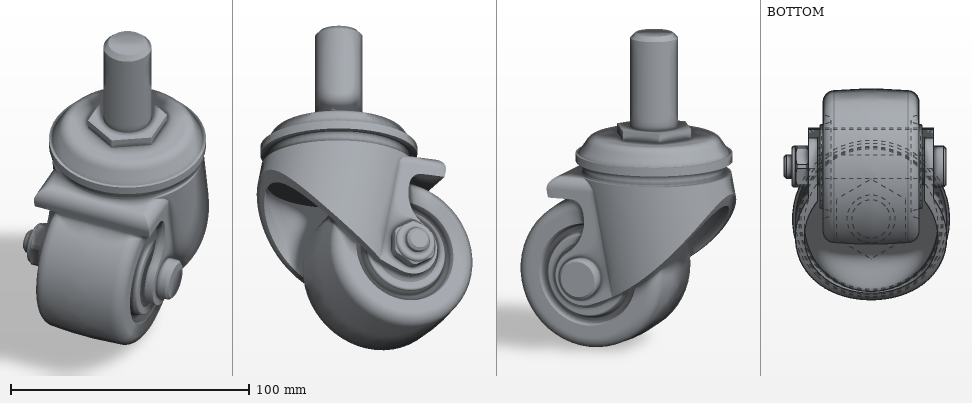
import cadquery as cq
import math


OVERALL_HEIGHT = 134.0

WHEEL_TRAIL = 22.0
AXLE_Y = -WHEEL_TRAIL
WHEEL_RADIUS = 32.5
TREAD_EDGE_RADIUS = 31.9
TREAD_HALF_WIDTH = 15.5
TIRE_HALF_WIDTH = 20.1
TIRE_SIDE_RADIUS = 26.8
GROOVE_OUTER_RADIUS = 21.8
GROOVE_BOTTOM_OUTER_RADIUS = 20.8
GROOVE_BOTTOM_INNER_RADIUS = 18.8
GROOVE_BOTTOM_X = 16.8
GROOVE_FILLET = 0.8
HUB_RADIUS = 17.7
HUB_HALF_WIDTH = 21.5
HUB_EDGE_FILLET = 0.8
BEARING_RADIUS = 14.2
BEARING_RECESS = 0.7
SPACER_RADIUS = 7.8

FORK_TOP_Z = 41.7
PLATE_THICKNESS = 8.7
PLATE_BOTTOM_Z = FORK_TOP_Z - PLATE_THICKNESS
SHEET_THICKNESS = 3.8
ARM_HALF_SPAN = 26.3
ARM_INNER_X = ARM_HALF_SPAN - SHEET_THICKNESS
ARM_END_RADIUS = 12.0
LIP_CORNER_Y = -39.1
LIP_EDGE_FILLET = 5.0
INNER_CORNER_FILLET = 1.1
SKIRT_RADIUS = 31.8
SKIRT_CENTER_Y = 0.3
SKIRT_TILT = 10.8
CUTTER_LENGTH = 80.4
THROAT_RADIUS = 15.8
THROAT_Y = -36.8
THROAT_Z = 23.9
THROAT_TOP_RADIUS = 5.6
BACK_EDGE_RADIUS = 91.8
BACK_EDGE_ANGLE = -70.7
BACK_LIMIT_Y = 40.2

STEM_RADIUS = 10.0
STEM_TOP_Z = OVERALL_HEIGHT - WHEEL_RADIUS
STEM_CHAMFER = 2.0
HEX_ACROSS_FLATS = 29.0
HEX_TOP_Z = 61.4
CAP_TOP_Z = 57.5
CAP_CORNER_RADIUS = 26.8
CAP_ROUND = 5.0
CONE_BASE_RADIUS = 31.8
FLANGE_RADIUS = 33.0
FLANGE_TOP_Z = 50.1
FLANGE_BOTTOM_Z = 46.6
NECK_RADIUS = 29.5
NECK_BOTTOM_Z = 46.0
RACE_RADIUS = 30.0
RACE_TOP_Z = 43.5
RACE_BOTTOM_Z = 42.3
RACE_FOOT_RADIUS = 30.4

BOLT_RADIUS = 5.0
BOLT_END_X = -36.6
BOLT_CHAMFER = 1.1
HEAD_RADIUS = 8.6
HEAD_HEIGHT = 5.2
HEAD_CHAMFER = 1.1
NUT_ACROSS_FLATS = 17.3
NUT_HEIGHT = 7.0
NUT_CHAMFER_HEIGHT = 0.5
NUT_COLLAR_START = 5.4
NUT_COLLAR_RADIUS = 8.6
NUT_COLLAR_ROUND = 1.2
NUT_CORNER_RADIUS = 9.5
NUT_FACE_RADIUS = 9.1


def axle_revolve(profile):
    """Turn a closed XY profile about the X axis and move it onto the wheel axis."""
    turned = profile.close().revolve(360, (0, 0, 0), (1, 0, 0))
    return turned.translate((0, AXLE_Y, 0))


def axle_cylinder(radius, start_x, end_x):
    """Round bar on the wheel axis between two X positions."""
    bar = cq.Workplane("YZ").workplane(offset=start_x).center(AXLE_Y, 0)
    return bar.circle(radius).extrude(end_x - start_x)


def across_corners(across_flats):
    return across_flats * 2 / math.sqrt(3)


def mirrored_in_x(shape):
    return shape.mirror("YZ")



def groove_ring():
    """Ring-shaped groove between the tire and the hub on the +X side, wider toward the outside."""
    ring = axle_revolve(
        cq.Workplane("XY")
        .moveTo(GROOVE_BOTTOM_X, GROOVE_BOTTOM_INNER_RADIUS)
        .lineTo(GROOVE_BOTTOM_X, GROOVE_BOTTOM_OUTER_RADIUS)
        .lineTo(TIRE_HALF_WIDTH, GROOVE_OUTER_RADIUS)
        .lineTo(TIRE_HALF_WIDTH, HUB_RADIUS)
    )
    return ring.faces("<X").edges().fillet(GROOVE_FILLET)


def make_tire():
    """Crowned tread with rounded shoulders and flat sides."""
    diagonal = math.sqrt(0.5)
    shoulder_x = TREAD_HALF_WIDTH + (TIRE_HALF_WIDTH - TREAD_HALF_WIDTH) * diagonal
    shoulder_radius = TIRE_SIDE_RADIUS + (TREAD_EDGE_RADIUS - TIRE_SIDE_RADIUS) * diagonal
    return axle_revolve(
        cq.Workplane("XY")
        .moveTo(-TIRE_HALF_WIDTH, 0)
        .lineTo(-TIRE_HALF_WIDTH, TIRE_SIDE_RADIUS)
        .threePointArc((-shoulder_x, shoulder_radius), (-TREAD_HALF_WIDTH, TREAD_EDGE_RADIUS))
        .threePointArc((0, WHEEL_RADIUS), (TREAD_HALF_WIDTH, TREAD_EDGE_RADIUS))
        .threePointArc((shoulder_x, shoulder_radius), (TIRE_HALF_WIDTH, TIRE_SIDE_RADIUS))
        .lineTo(TIRE_HALF_WIDTH, 0)
    )


def make_wheel():
    hub = axle_cylinder(HUB_RADIUS, -HUB_HALF_WIDTH, HUB_HALF_WIDTH)
    hub = hub.faces("<X or >X").edges().fillet(HUB_EDGE_FILLET)
    wheel = make_tire()
    groove = groove_ring()
    wheel = wheel.cut(groove).cut(mirrored_in_x(groove)).union(hub)

    recess = axle_cylinder(BEARING_RADIUS, HUB_HALF_WIDTH - BEARING_RECESS, HUB_HALF_WIDTH)
    wheel = wheel.cut(recess).cut(mirrored_in_x(recess))
    wheel = wheel.union(axle_cylinder(SPACER_RADIUS, -ARM_INNER_X, ARM_INNER_X))
    return wheel.cut(axle_cylinder(BOLT_RADIUS, -ARM_INNER_X, ARM_INNER_X))



def tilted_cylinder(radius):
    """Cylinder through the middle of the fork top, leaning toward +Y as it goes down."""
    cylinder = cq.Workplane("XY").circle(radius).extrude(CUTTER_LENGTH, both=True)
    return cylinder.rotate((0, 0, 0), (1, 0, 0), SKIRT_TILT).translate((0, SKIRT_CENTER_Y, FORK_TOP_Z))


def polar(center, radius, angle):
    """Point at an angle, in radians from the first axis of the sketch, around a center."""
    return (center[0] + radius * math.cos(angle), center[1] + radius * math.sin(angle))


def fork_side_profile():
    """Side outline of the fork: lip, throat, rounded arm end and curved back edge."""
    axle = (AXLE_Y, 0)
    throat = (THROAT_Y, THROAT_Z)
    throat_direction = math.atan2(THROAT_Z, THROAT_Y - AXLE_Y)
    arm_top = polar(axle, ARM_END_RADIUS, throat_direction)

    top_center_z = PLATE_BOTTOM_Z - THROAT_TOP_RADIUS
    top_direction = math.asin((top_center_z - THROAT_Z) / (THROAT_RADIUS - THROAT_TOP_RADIUS))
    top_center = polar(throat, THROAT_RADIUS - THROAT_TOP_RADIUS, top_direction)
    throat_top = polar(throat, THROAT_RADIUS, top_direction)
    lip_end = (top_center[0], PLATE_BOTTOM_Z)
    top_middle = polar(top_center, THROAT_TOP_RADIUS, (top_direction + math.pi / 2) / 2)
    throat_middle = polar(throat, THROAT_RADIUS, (top_direction + throat_direction - math.pi) / 2)

    back_direction = math.radians(BACK_EDGE_ANGLE)
    arm_bottom = polar(axle, ARM_END_RADIUS, back_direction)
    arm_front = polar(axle, ARM_END_RADIUS, math.pi + (throat_direction + back_direction) / 2)
    back_center = polar(axle, ARM_END_RADIUS - BACK_EDGE_RADIUS, back_direction)
    back_end_direction = -math.acos((BACK_LIMIT_Y - back_center[0]) / BACK_EDGE_RADIUS)
    back_middle = polar(back_center, BACK_EDGE_RADIUS, (back_direction + back_end_direction) / 2)
    back_end = polar(back_center, BACK_EDGE_RADIUS, back_end_direction)

    return (
        cq.Workplane("YZ")
        .moveTo(LIP_CORNER_Y, FORK_TOP_Z)
        .lineTo(LIP_CORNER_Y, PLATE_BOTTOM_Z)
        .lineTo(*lip_end)
        .threePointArc(top_middle, throat_top)
        .threePointArc(throat_middle, arm_top)
        .threePointArc(arm_front, arm_bottom)
        .threePointArc(back_middle, back_end)
        .lineTo(BACK_LIMIT_Y, FORK_TOP_Z)
        .close()
        .extrude(FLANGE_RADIUS, both=True)
    )


def arm_block():
    """Block as wide as the fork arms, with a leaning lip front and a rounded top edge."""
    bottom_z = -ARM_END_RADIUS
    lip_bottom_y = LIP_CORNER_Y + PLATE_THICKNESS * math.tan(math.radians(SKIRT_TILT))
    side = [
        (LIP_CORNER_Y, FORK_TOP_Z),
        (0, FORK_TOP_Z),
        (0, bottom_z),
        (lip_bottom_y, bottom_z),
        (lip_bottom_y, PLATE_BOTTOM_Z),
    ]
    block = cq.Workplane("YZ").polyline(side).close().extrude(ARM_HALF_SPAN, both=True)
    return block.faces(">Z").edges("<Y or <X or >X").fillet(LIP_EDGE_FILLET)


def space_below_plate(half_width, front_y, back_y):
    """Box under the plate, centered on X = 0 and deeper than the fork."""
    size = (2 * half_width, back_y - front_y, CUTTER_LENGTH)
    box = cq.Workplane("XY").box(*size, centered=(True, False, False))
    return box.translate((0, front_y, PLATE_BOTTOM_Z - CUTTER_LENGTH))


def make_fork():
    fork = arm_block().union(tilted_cylinder(SKIRT_RADIUS)).intersect(fork_side_profile())
    wheel_space = space_below_plate(ARM_INNER_X, LIP_CORNER_Y, 0)
    wheel_space = wheel_space.faces(">Z").edges("|Y").fillet(INNER_CORNER_FILLET)
    skirt_space = tilted_cylinder(SKIRT_RADIUS - SHEET_THICKNESS)
    skirt_space = skirt_space.intersect(space_below_plate(SKIRT_RADIUS, LIP_CORNER_Y, BACK_LIMIT_Y))
    return fork.cut(wheel_space).cut(skirt_space)



def make_swivel_head():
    """Ball race, flange and domed cap turned about the swivel axis, with hexagon and stem."""
    cone_angle = math.atan2(CAP_TOP_Z - FLANGE_TOP_Z, CONE_BASE_RADIUS - CAP_CORNER_RADIUS)
    round_run = CAP_ROUND * math.tan(cone_angle / 2)
    round_top_radius = CAP_CORNER_RADIUS - round_run
    round_center_z = CAP_TOP_Z - CAP_ROUND
    round_middle = polar((round_top_radius, round_center_z), CAP_ROUND, (math.pi - cone_angle) / 2)
    round_end = polar((round_top_radius, round_center_z), CAP_ROUND, math.pi / 2 - cone_angle)
    head = (
        cq.Workplane("XZ")
        .moveTo(0, FORK_TOP_Z)
        .lineTo(RACE_FOOT_RADIUS, FORK_TOP_Z)
        .lineTo(RACE_RADIUS, RACE_BOTTOM_Z)
        .lineTo(RACE_RADIUS, RACE_TOP_Z)
        .lineTo(NECK_RADIUS, NECK_BOTTOM_Z)
        .lineTo(NECK_RADIUS, FLANGE_BOTTOM_Z)
        .lineTo(FLANGE_RADIUS, FLANGE_BOTTOM_Z)
        .lineTo(FLANGE_RADIUS, FLANGE_TOP_Z)
        .lineTo(CONE_BASE_RADIUS, FLANGE_TOP_Z)
        .lineTo(*round_end)
        .threePointArc(round_middle, (round_top_radius, CAP_TOP_Z))
        .lineTo(0, CAP_TOP_Z)
        .close()
        .revolve(360, (0, 0, 0), (0, 1, 0))
    )
    hexagon = (
        cq.Workplane("XY", origin=(0, 0, CAP_TOP_Z))
        .polygon(6, across_corners(HEX_ACROSS_FLATS))
        .extrude(HEX_TOP_Z - CAP_TOP_Z)
        .rotate((0, 0, 0), (0, 0, 1), 90)
    )
    stem = (
        cq.Workplane("XY", origin=(0, 0, HEX_TOP_Z))
        .circle(STEM_RADIUS)
        .extrude(STEM_TOP_Z - HEX_TOP_Z)
        .faces(">Z")
        .chamfer(STEM_CHAMFER)
    )
    return head.union(hexagon).union(stem)



def make_nut():
    """Hexagon nut on the -X arm, chamfered at the arm and rounded into a collar outside."""
    hexagon = (
        cq.Workplane("YZ", origin=(-ARM_HALF_SPAN, AXLE_Y, 0))
        .transformed(rotate=(0, 0, 90))
        .polygon(6, across_corners(NUT_ACROSS_FLATS))
        .extrude(-NUT_HEIGHT)
    )
    inner_x = -ARM_HALF_SPAN
    collar_x = inner_x - NUT_COLLAR_START
    outer_x = inner_x - NUT_HEIGHT
    envelope = axle_revolve(
        cq.Workplane("XY")
        .moveTo(inner_x, 0)
        .lineTo(inner_x, NUT_FACE_RADIUS)
        .lineTo(inner_x - NUT_CHAMFER_HEIGHT, NUT_CORNER_RADIUS)
        .lineTo(collar_x + NUT_CHAMFER_HEIGHT, NUT_CORNER_RADIUS)
        .lineTo(collar_x, NUT_COLLAR_RADIUS)
        .lineTo(outer_x + NUT_COLLAR_ROUND, NUT_COLLAR_RADIUS)
        .radiusArc((outer_x, NUT_COLLAR_RADIUS - NUT_COLLAR_ROUND), -NUT_COLLAR_ROUND)
        .lineTo(outer_x, 0)
    )
    return hexagon.intersect(envelope)


def make_bolt():
    shank = axle_cylinder(BOLT_RADIUS, BOLT_END_X, ARM_HALF_SPAN).faces("<X").chamfer(BOLT_CHAMFER)
    head = axle_cylinder(HEAD_RADIUS, ARM_HALF_SPAN, ARM_HALF_SPAN + HEAD_HEIGHT)
    head = head.faces(">X").chamfer(HEAD_CHAMFER)
    return shank.union(head)



def make_frame():
    """Fork, swivel head, nut and axle bolt as one body that carries the wheel."""
    return make_fork().union(make_swivel_head()).union(make_nut()).union(make_bolt())


frame = make_frame()
wheel = make_wheel()

result = cq.Compound.makeCompound([frame.solids().val(), wheel.solids().val()])